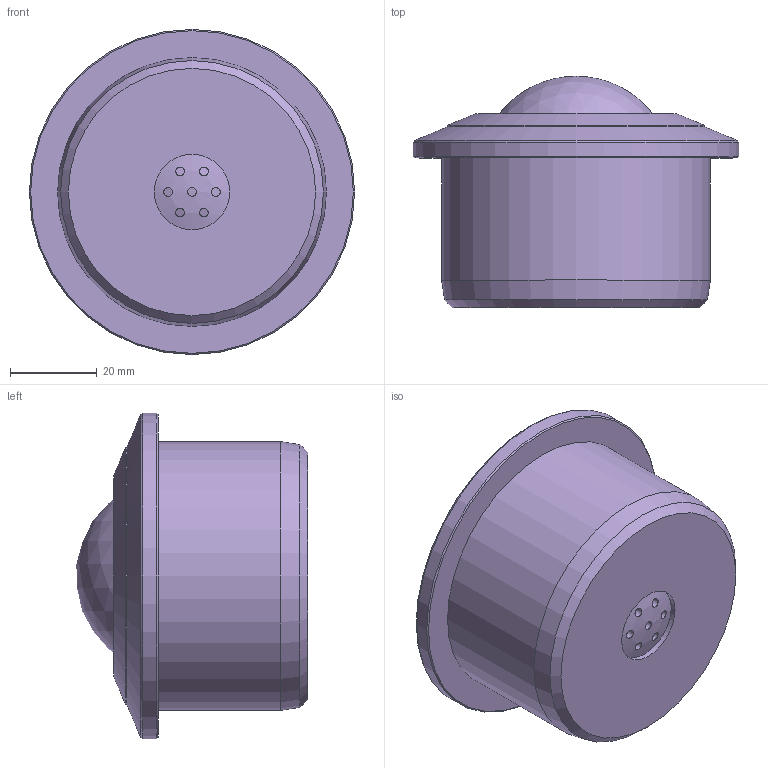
import cadquery as cq
import math


overall_height = 53.5
ball_radius = 45 / 2
ball_centre_y = overall_height - ball_radius

body_radius = 62 / 2
base_face_radius = 28.5
taper_end_radius = 30.3
taper_end_y = 1.8
taper_start_y = 6.3

flange_radius = 75 / 2
flange_bottom_y = 34.5
flange_thickness = 4.0
flange_top_y = flange_bottom_y + flange_thickness
rim_edge_break = 0.3
rim_top_break_height = 0.5

cap_top_y = 44.7
cap_top_radius = 23.2
step_radius = 29.6
step_bottom_y = 41.7
step_height = 0.3

recess_radius = 8.7
dome_radius = ball_centre_y

drain_hole_diameter = 2.0
drain_circle_radius = 5.5
drain_circle_count = 6


def make_ball():
    return cq.Workplane("XY").sphere(ball_radius).translate((0, ball_centre_y, 0))


def point_on_sphere(radius, angle):
    """Point in the XY plane on a sphere about the ball centre; angle in radians from the -Y pole."""
    return (radius * math.sin(angle), ball_centre_y - radius * math.cos(angle))


def make_housing_blank():
    """Housing revolved about Y: outside, ball seat, and the domed floor of the drain recess."""
    dome_edge_angle = math.asin(recess_radius / dome_radius)
    seat_edge_angle = math.acos((ball_centre_y - cap_top_y) / ball_radius)
    return (
        cq.Workplane("XY")
        .moveTo(*point_on_sphere(dome_radius, 0))
        .threePointArc(
            point_on_sphere(dome_radius, dome_edge_angle / 2),
            point_on_sphere(dome_radius, dome_edge_angle),
        )
        .lineTo(recess_radius, 0)
        .lineTo(base_face_radius, 0)
        .lineTo(taper_end_radius, taper_end_y)
        .lineTo(body_radius, taper_start_y)
        .lineTo(body_radius, flange_bottom_y)
        .lineTo(flange_radius - rim_edge_break, flange_bottom_y)
        .lineTo(flange_radius, flange_bottom_y + rim_edge_break)
        .lineTo(flange_radius, flange_top_y - rim_top_break_height)
        .lineTo(flange_radius - rim_edge_break, flange_top_y)
        .lineTo(step_radius, step_bottom_y)
        .lineTo(step_radius, step_bottom_y + step_height)
        .lineTo(cap_top_radius, cap_top_y)
        .lineTo(*point_on_sphere(ball_radius, seat_edge_angle))
        .threePointArc(
            point_on_sphere(ball_radius, seat_edge_angle / 2),
            point_on_sphere(ball_radius, 0),
        )
        .close()
        .revolve(360, (0, 0), (0, 1))
    )


def make_drain_holes():
    """Bores parallel to Y that run from the recess into the ball seat."""
    centres = [(0, 0)]
    for index in range(drain_circle_count):
        angle = 2 * math.pi * index / drain_circle_count
        centres.append((drain_circle_radius * math.cos(angle), drain_circle_radius * math.sin(angle)))
    return (
        cq.Workplane("XZ")
        .pushPoints(centres)
        .circle(drain_hole_diameter / 2)
        .extrude(-ball_centre_y)
    )


ball = make_ball()
housing = make_housing_blank().cut(make_drain_holes())

result = cq.Compound.makeCompound([housing.val(), ball.val()])